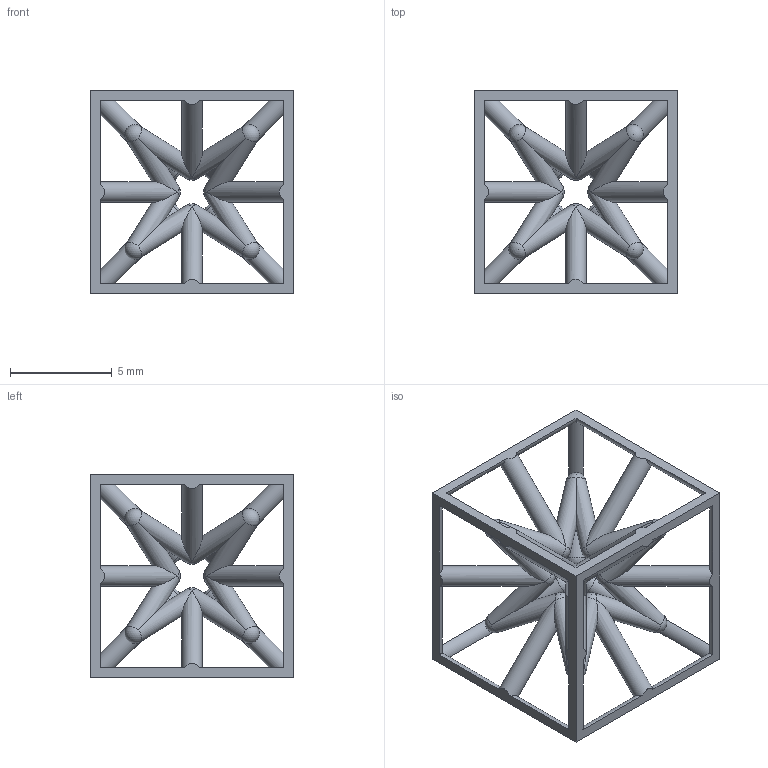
import cadquery as cq

CELL = 10.0
STRUT_DIAMETER = 1.0
INNER_JOINT_OFFSET = 1.071
CORNER_JOINT_OFFSET = 2.811

HALF = CELL / 2
STRUT_RADIUS = STRUT_DIAMETER / 2
END_OVERRUN = STRUT_DIAMETER

AXES = (0, 1, 2)
SIGNS = (-1, 1)


def make_strut(start, end):
    """Round bar between two points."""
    path = end - start
    return cq.Solid.makeCylinder(STRUT_RADIUS, path.Length, start, path)


def make_ball(centre):
    """Ball that rounds off the joint of several struts."""
    ball = cq.Workplane("XY").sphere(STRUT_RADIUS)
    return ball.translate(centre).val()


def edge_directions():
    """Yield (edge axis, vector) for the twelve edge midpoints of a cube of half-side one."""
    for axis in AXES:
        for first in SIGNS:
            for second in SIGNS:
                components = [first, second]
                components.insert(axis, 0)
                yield axis, cq.Vector(*components)


def axis_vector(axis, length):
    """Vector of the given signed length along one of the three axes."""
    components = [0, 0, 0]
    components[axis] = length
    return cq.Vector(*components)


def make_frame():
    """Round bars centred on the twelve edges of the cube."""
    bars = []
    for axis, direction in edge_directions():
        middle = direction * HALF
        half_bar = axis_vector(axis, HALF)
        bars.append(make_strut(middle - half_bar, middle + half_bar))
    return bars


def make_edge_branch(axis, direction):
    """Strut from an edge midpoint to its inner joint, then one to each nearby corner joint."""
    inner_joint = direction * INNER_JOINT_OFFSET
    outer_end = direction * HALF + direction.normalized() * END_OVERRUN
    members = [make_ball(inner_joint), make_strut(inner_joint, outer_end)]
    for sign in SIGNS:
        corner_joint = (direction + axis_vector(axis, sign)) * CORNER_JOINT_OFFSET
        members.append(make_strut(inner_joint, corner_joint))
    return members


def make_corner_balls():
    """Balls at the eight joints on the body diagonals."""
    balls = []
    for x_sign in SIGNS:
        for y_sign in SIGNS:
            for z_sign in SIGNS:
                direction = cq.Vector(x_sign, y_sign, z_sign)
                balls.append(make_ball(direction * CORNER_JOINT_OFFSET))
    return balls


def make_cell():
    """All bars, struts and balls fused together and trimmed flush with the cube."""
    members = make_frame() + make_corner_balls()
    for axis, direction in edge_directions():
        members.extend(make_edge_branch(axis, direction))
    lattice = members[0].fuse(*members[1:])
    envelope = cq.Workplane("XY").box(CELL, CELL, CELL).val()
    return lattice.intersect(envelope).clean()


result = cq.Workplane("XY").newObject([make_cell()])